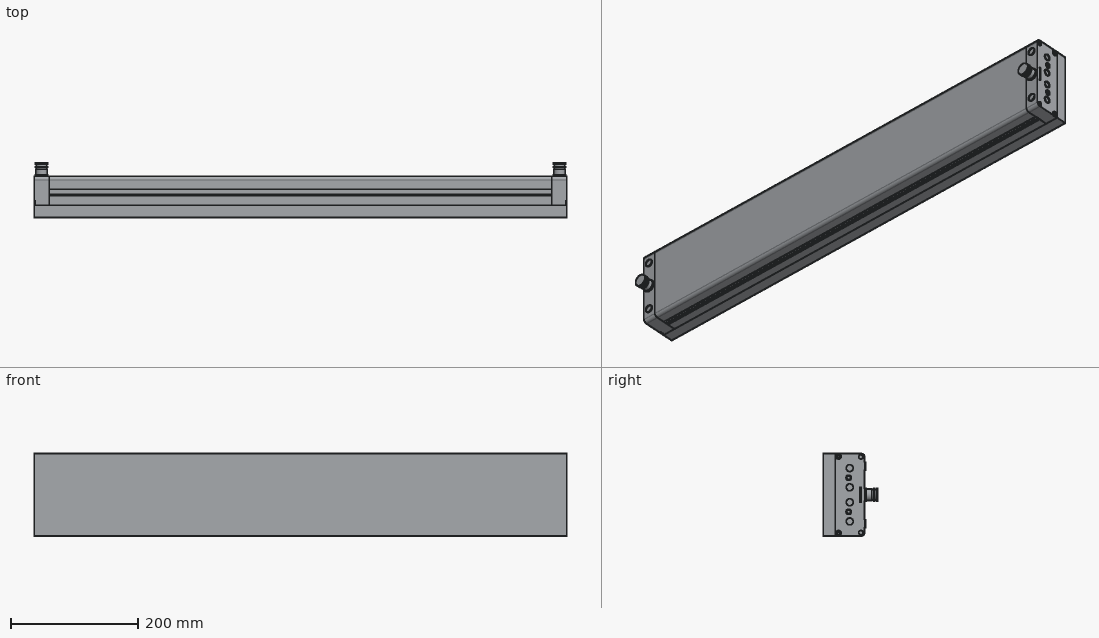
import cadquery as cq

length = 838.0
height = 130.0
overall_depth = 86.0

panel_depth = 19.0
body_back = 65.0
back_edge_radius = 5.45
cap_width = 23.5
profile_length = length - 2 * cap_width

groove_back = 44.0
groove_front = 37.0
groove_depth = 7.0
lip_width = 2.5
lip_depth = 2.5

pad_diameter = 12.5
pad_thickness = 2.0
pad_center_z = 45.0

connector_steps = [
    (10.0, 68.0),
    (9.0, 76.0),
    (8.0, 80.0),
    (10.0, 80.5),
    (8.0, 84.0),
    (10.0, overall_depth),
]

recess_depth = 2.0
bore_depth = 3.0
socket_y = 42.0
socket_diameter = 11.0
socket_heights = (-42.0, -12.0, 12.0, 42.0)
port_y = 40.0
port_heights = (-27.0, 27.0)
port_diameter = 8.0
port_bore_diameter = 6.0
slot_y = 59.0
slot_width = 2.5
slot_height = 23.5
screw_diameter = 7.0
screw_y = 59.5
screw_height = 59.5
front_screw_y = 24.0
front_screw_diameter = 8.0
front_screw_height = 60.0
front_screw_bore_diameter = 4.0


def box_between(x_range, y_range, z_range):
    """Box spanning the given (low, high) ranges."""
    size = [high - low for low, high in (x_range, y_range, z_range)]
    corner = (x_range[0], y_range[0], z_range[0])
    return cq.Workplane("XY").box(*size, centered=False).translate(corner)


def housing_block(x_low, x_high):
    """Stretch of the housing behind the panel, with rounded back edges."""
    block = box_between((x_low, x_high), (panel_depth, body_back), (-height / 2, height / 2))
    return block.faces(">Y").edges("|X").fillet(back_edge_radius)


def make_panel():
    """Flat front panel over the full length."""
    return box_between((-length / 2, length / 2), (0, panel_depth), (-height / 2, height / 2))


def make_profile():
    """Extruded middle section with grooves above and below."""
    x_range = (-profile_length / 2, profile_length / 2)
    profile = housing_block(*x_range)
    lip_front = groove_front - lip_width
    for side in (-1, 1):
        surface = side * height / 2
        groove_z = sorted((surface, surface - side * groove_depth))
        lip_z = sorted((surface, surface - side * lip_depth))
        profile = profile.cut(box_between(x_range, (groove_front, groove_back), groove_z))
        profile = profile.cut(box_between(x_range, (lip_front, groove_front), lip_z))
    return profile


def make_connector(x):
    """Stepped round cable connector standing on the back face at the given X."""
    start = body_back
    connector = None
    for radius, end in connector_steps:
        step = cq.Workplane("XZ", origin=(x, start, 0)).circle(radius).extrude(start - end)
        connector = step if connector is None else connector.union(step)
        start = end
    return connector


def mounting_pads(x):
    """Two round pads on the back face, above and below the connector."""
    back = cq.Workplane("XZ", origin=(x, body_back, 0))
    centers = [(0, -pad_center_z), (0, pad_center_z)]
    return back.pushPoints(centers).circle(pad_diameter / 2).extrude(-pad_thickness)


def round_recesses(points, diameter, depth):
    """Blind round cutters in the left outer face at the given (Y, Z) points."""
    face = cq.Workplane("YZ", origin=(-length / 2, 0, 0))
    return face.pushPoints(points).circle(diameter / 2).extrude(depth)


def slot_recess():
    """Narrow upright slot cutter near the back edge of the left outer face."""
    face = cq.Workplane("YZ", origin=(-length / 2, 0, 0))
    return face.center(slot_y, 0).rect(slot_width, slot_height).extrude(recess_depth)


def make_left_cap():
    """End cap with its connector and the recesses in its outer face."""
    cap_center_x = -(length - cap_width) / 2
    cap = housing_block(-length / 2, -profile_length / 2)
    cap = cap.union(make_connector(cap_center_x)).union(mounting_pads(cap_center_x))
    socket_points = [(socket_y, z) for z in socket_heights]
    port_points = [(port_y, z) for z in port_heights]
    screw_points = [(screw_y, z) for z in (-screw_height, screw_height)]
    front_screw_points = [(front_screw_y, z) for z in (-front_screw_height, front_screw_height)]
    cap = cap.cut(slot_recess())
    cap = cap.cut(round_recesses(socket_points, socket_diameter, recess_depth))
    cap = cap.cut(round_recesses(port_points, port_diameter, recess_depth))
    cap = cap.cut(round_recesses(port_points, port_bore_diameter, bore_depth))
    cap = cap.cut(round_recesses(screw_points, screw_diameter, recess_depth))
    cap = cap.cut(round_recesses(front_screw_points, front_screw_diameter, recess_depth))
    return cap.cut(round_recesses(front_screw_points, front_screw_bore_diameter, bore_depth))


def make_caps():
    """The left cap and its mirror image at the right end."""
    left_cap = make_left_cap()
    right_cap = left_cap.mirror("YZ")
    return [left_cap, right_cap]


panel = make_panel()
profile = make_profile()
caps = make_caps()

result = cq.Compound.makeCompound([panel.val(), profile.val(), *[cap.val() for cap in caps]])